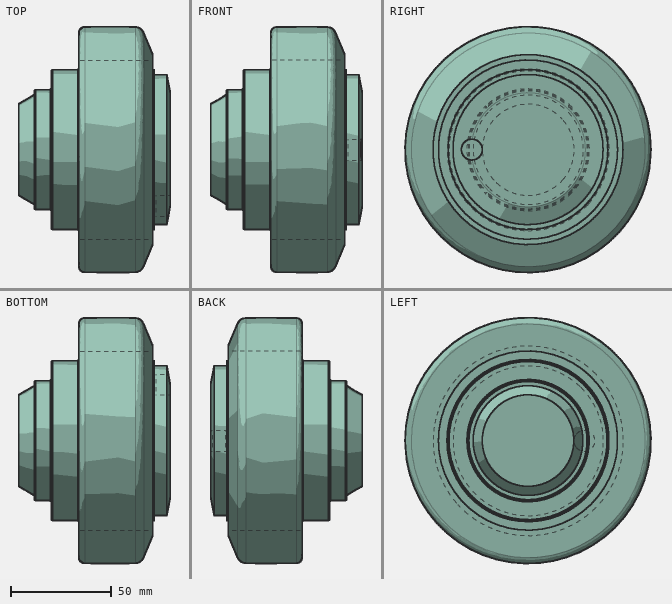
import cadquery as cq
import math

TIP_LENGTH = 7.7
COLLAR_START = 16.2
RING_START = 30.0
RING_END = 67.0
STEP_END = 67.6
CAP_CONE_START = 74.0
TOTAL_LENGTH = 75.8

TIP_RADIUS = 22.9
TIP_BASE_RADIUS = 27.4
NECK_RADIUS = 60.0 / 2
COLLAR_RADIUS = 80 / 2
CORE_RADIUS = 89.5 / 2
CAP_RADIUS = 75 / 2
CAP_FACE_RADIUS = 28.5

BREAK_LENGTH = 0.7
BREAK_DEPTH = 0.5
ROOT_FLARE = 0.55

HOLE_DIAMETER = 10.5
HOLE_OFFSET = 28.0
HOLE_DEPTH = 7.4

RING_RADIUS = 61.5
RING_FACE_RADIUS = 95.0 / 2
BEVEL_LENGTH = 5.8
CROWN_RADIUS = 500.0
INNER_FILLET = 3.0
BEVEL_FILLET = 4.8


def revolve_about_x(profile):
    return profile.close().revolve(360, (0, 0, 0), (1, 0, 0))


def make_stud():
    profile = (
        cq.Workplane("XY")
        .lineTo(0, TIP_RADIUS)
        .lineTo(TIP_LENGTH, TIP_BASE_RADIUS)
        .lineTo(TIP_LENGTH, NECK_RADIUS - BREAK_DEPTH)
        .lineTo(TIP_LENGTH + BREAK_LENGTH, NECK_RADIUS)
        .lineTo(COLLAR_START - ROOT_FLARE, NECK_RADIUS)
        .lineTo(COLLAR_START, NECK_RADIUS + ROOT_FLARE)
        .lineTo(COLLAR_START, COLLAR_RADIUS - BREAK_DEPTH)
        .lineTo(COLLAR_START + BREAK_LENGTH, COLLAR_RADIUS)
        .lineTo(RING_START - ROOT_FLARE, COLLAR_RADIUS)
        .lineTo(RING_START, COLLAR_RADIUS + ROOT_FLARE)
        .lineTo(RING_START, CORE_RADIUS)
        .lineTo(RING_END, CORE_RADIUS)
        .lineTo(RING_END, COLLAR_RADIUS)
        .lineTo(STEP_END, COLLAR_RADIUS)
        .lineTo(STEP_END, CAP_RADIUS)
        .lineTo(CAP_CONE_START, CAP_RADIUS)
        .lineTo(TOTAL_LENGTH, CAP_FACE_RADIUS)
        .lineTo(TOTAL_LENGTH, 0)
    )
    hole = (
        cq.Workplane("YZ", origin=(TOTAL_LENGTH - HOLE_DEPTH, -HOLE_OFFSET, 0))
        .circle(HOLE_DIAMETER / 2)
        .extrude(HOLE_DEPTH)
    )
    return revolve_about_x(profile).cut(hole)


def circle_edge_at(body, x):
    """Select the outer edge whose circle is centred on the axis at x."""
    margin = 0.1
    return body.edges(cq.selectors.BoxSelector((x - margin, -margin, -margin), (x + margin, margin, margin)))


def make_ring():
    bevel_start = RING_END - BEVEL_LENGTH
    crown_middle = (RING_START + bevel_start) / 2
    half_width = (bevel_start - RING_START) / 2
    crown_drop = CROWN_RADIUS - math.sqrt(CROWN_RADIUS**2 - half_width**2)
    edge_radius = RING_RADIUS - crown_drop

    profile = (
        cq.Workplane("XY")
        .moveTo(RING_START, CORE_RADIUS)
        .lineTo(RING_START, edge_radius)
        .threePointArc((crown_middle, RING_RADIUS), (bevel_start, edge_radius))
        .lineTo(RING_END, RING_FACE_RADIUS)
        .lineTo(RING_END, CORE_RADIUS)
    )
    ring = revolve_about_x(profile)
    ring = circle_edge_at(ring, bevel_start).fillet(BEVEL_FILLET)
    return ring.faces("<X").edges(cq.selectors.RadiusNthSelector(-1)).fillet(INNER_FILLET)


stud = make_stud()
ring = make_ring()

result = cq.Compound.makeCompound([stud.val(), ring.val()])